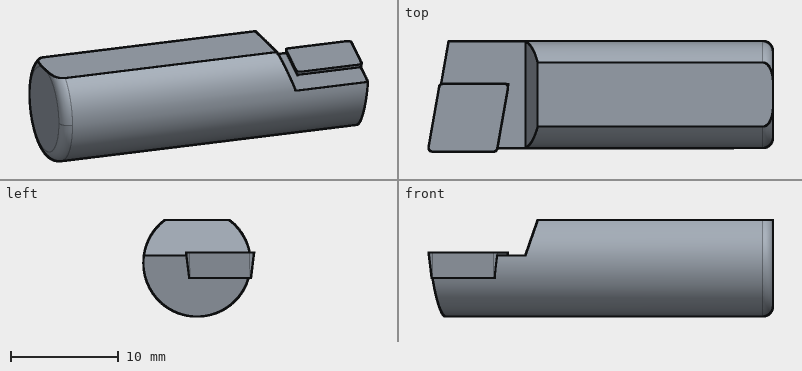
import cadquery as cq
import math


shank_end = 32.0
shank_diameter = 10.0
shank_radius = shank_diameter / 2
end_fillet = 1.0
flat_height = 4.0
step_height = 0.7
shoulder_foot = 9.0
shoulder_top = 10.15
front_face_x = 1.0
front_relief = 6.0

insert_angle = 80.0
insert_width = 6.35
insert_thickness = 2.4
insert_top = 1.0
insert_front_y = -5.3
nose_radius = 0.4
clearance_angle = 7.0
lead_slope = 1 / math.tan(math.radians(insert_angle))
edge_length = insert_width / math.sin(math.radians(insert_angle))

nose_centre_offset = nose_radius / math.tan(math.radians(insert_angle / 2))
corner_x = nose_radius - nose_centre_offset

margin = 3.2


def rhombic_plate(corner_radius):
    """Tapered rhombus in the insert position; zero radius leaves its corners sharp."""
    lean = insert_width * lead_slope
    back_y = insert_front_y + insert_width
    outline = cq.Sketch().polygon([
        (corner_x, insert_front_y),
        (corner_x + edge_length, insert_front_y),
        (corner_x + edge_length + lean, back_y),
        (corner_x + lean, back_y),
        (corner_x, insert_front_y),
    ])
    if corner_radius > 0:
        outline = outline.vertices().fillet(corner_radius)
    return (
        cq.Workplane("XY")
        .workplane(offset=insert_top)
        .placeSketch(outline)
        .extrude(-insert_thickness, taper=clearance_angle)
    )


def round_bar():
    bar = cq.Workplane("YZ").circle(shank_radius).extrude(shank_end)
    return bar.faces(">X").edges().fillet(end_fillet)


def top_cut():
    """Material above the step, the sloping shoulder and the clamping flat."""
    above = shank_radius + margin
    return (
        cq.Workplane("XZ")
        .moveTo(-margin, step_height)
        .lineTo(shoulder_foot, step_height)
        .lineTo(shoulder_top, flat_height)
        .lineTo(shank_end + margin, flat_height)
        .lineTo(shank_end + margin, above)
        .lineTo(-margin, above)
        .close()
        .extrude(shank_radius + margin, both=True)
    )


def front_cut():
    """Block ahead of the front face, which follows the insert edge and leans back."""
    size = 2 * (shank_diameter + margin)
    block = cq.Workplane("XY").box(size, size, size).translate((-size / 2, 0, 0))
    return (
        block
        .rotate((0, 0, 0), (0, 1, 0), -front_relief)
        .rotate((0, 0, 0), (0, 0, 1), insert_angle - 90)
        .translate((front_face_x, 0, step_height))
    )


def make_shank():
    pocket = rhombic_plate(0)
    return round_bar().cut(top_cut()).cut(front_cut()).cut(pocket)


shank = make_shank()
insert = rhombic_plate(nose_radius)

result = cq.Compound.makeCompound([shank.solids().val(), insert.solids().val()])